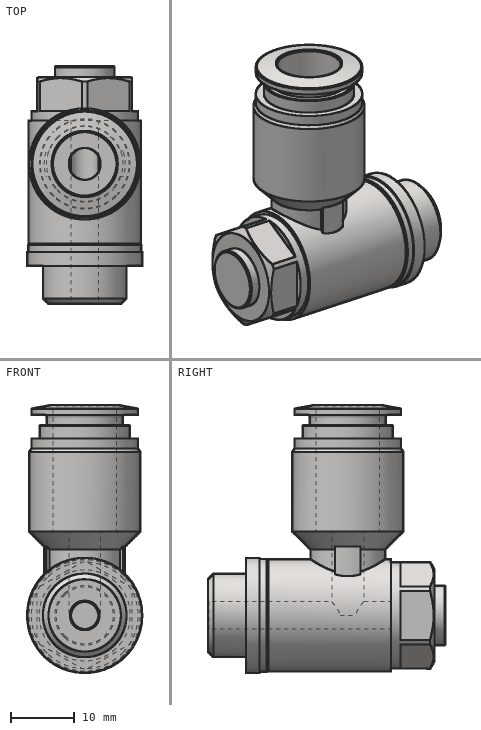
import cadquery as cq
import math


thread_end_y = -22.0
thread_diameter = 13.15
thread_chamfer = 0.9
flange_front_y = -16.02
flange_diameter = 18.15
ring_front_y = -13.87
ring_diameter = 17.8
groove_front_y = -12.78
groove_diameter = 17.5
barrel_front_y = -12.5
barrel_diameter = 17.7
barrel_back_y = 6.8
collar_diameter = 16.8
hex_front_y = 8.3
hex_back_y = 13.65
stub_end_y = 15.4
stub_diameter = 9.4
stub_chamfer = 0.2

hex_across_flats = 14.93
hex_corner_diameter = collar_diameter
hex_end_diameter = 14.35
hex_cone_length = 0.7

neck_diameter = 11.8
cone_bottom_z = 10.37
cone_top_z = 13.2
socket_diameter = 17.5
cap_bevel_bottom_z = 25.72
cap_bevel_top_z = 26.25
cap_top_z = 27.85
cap_diameter = 16.8
sleeve_top_z = 29.95
sleeve_diameter = 14.2
sleeve_chamfer = 0.13
button_neck_diameter = 12.0
button_bottom_z = 31.55
button_edge_z = 32.43
button_bevel_diameter = 16.45
button_bevel_top_z = 32.55
button_fillet = 0.35
button_top_z = 33.1
button_diameter = 16.8
tube_bore_diameter = 10.0
tube_bore_chamfer = 0.2
tube_bore_floor_z = cone_top_z
button_crown_diameter = tube_bore_diameter + 2 * tube_bore_chamfer

rib_width = 4.0
rib_outer_diameter = 12.75
rib_top_z = cone_bottom_z + (rib_outer_diameter - neck_diameter) / 2

inlet_diameter = 4.3
inlet_chamfer = 0.15
inlet_back_y = barrel_back_y
outlet_diameter = 5.0


def cylinder_y(diameter, start_y, end_y):
    """Cylinder on the Y axis between two stations."""
    plane = cq.Workplane("XZ", origin=(0, start_y, 0))
    return plane.circle(diameter / 2).extrude(start_y - end_y)


def make_barrel():
    thread = cylinder_y(thread_diameter, thread_end_y, flange_front_y)
    barrel = thread.faces("<Y").chamfer(thread_chamfer)
    barrel = barrel.union(cylinder_y(flange_diameter, flange_front_y, ring_front_y))
    barrel = barrel.union(cylinder_y(ring_diameter, ring_front_y, groove_front_y))
    barrel = barrel.union(cylinder_y(groove_diameter, groove_front_y, barrel_front_y))
    barrel = barrel.union(cylinder_y(barrel_diameter, barrel_front_y, barrel_back_y))
    barrel = barrel.union(cylinder_y(collar_diameter, barrel_back_y, hex_front_y))
    stub = cylinder_y(stub_diameter, hex_back_y, stub_end_y)
    return barrel.union(stub.faces(">Y").chamfer(stub_chamfer))


def make_hexagon():
    """Hexagon with flats facing +X and -X, trimmed to a turned blank."""
    across_corners = hex_across_flats / math.cos(math.radians(30))
    prism = (
        cq.Workplane("XZ", origin=(0, hex_front_y, 0))
        .transformed(rotate=(0, 0, 90))
        .polygon(6, across_corners)
        .extrude(hex_front_y - hex_back_y)
    )
    radial_cut = (hex_corner_diameter - hex_end_diameter) / 2
    blank = cylinder_y(hex_corner_diameter, hex_front_y, hex_back_y)
    blank = blank.faces(">Y").edges().chamfer(hex_cone_length, radial_cut)
    return prism.intersect(blank)


def make_socket():
    """Revolved socket, cap, sleeve and release button standing on the barrel axis."""
    neck_radius = neck_diameter / 2
    socket_radius = socket_diameter / 2
    cap_radius = cap_diameter / 2
    sleeve_radius = sleeve_diameter / 2
    button_neck_radius = button_neck_diameter / 2
    fillet_centre = (button_neck_radius + button_fillet, button_bottom_z - button_fillet)
    fillet_middle = (
        fillet_centre[0] - button_fillet * math.cos(math.radians(45)),
        fillet_centre[1] + button_fillet * math.sin(math.radians(45)),
    )
    profile = (
        cq.Workplane("XZ")
        .lineTo(neck_radius, 0)
        .lineTo(neck_radius, cone_bottom_z)
        .lineTo(socket_radius, cone_top_z)
        .lineTo(socket_radius, cap_bevel_bottom_z)
        .lineTo(cap_radius, cap_bevel_top_z)
        .lineTo(cap_radius, cap_top_z)
        .lineTo(sleeve_radius, cap_top_z)
        .lineTo(sleeve_radius, sleeve_top_z - sleeve_chamfer)
        .lineTo(sleeve_radius - sleeve_chamfer, sleeve_top_z)
        .lineTo(button_neck_radius, sleeve_top_z)
        .lineTo(button_neck_radius, fillet_centre[1])
        .threePointArc(fillet_middle, (fillet_centre[0], button_bottom_z))
        .lineTo(button_diameter / 2, button_bottom_z)
        .lineTo(button_diameter / 2, button_edge_z)
        .lineTo(button_bevel_diameter / 2, button_bevel_top_z)
        .lineTo(button_crown_diameter / 2, button_top_z)
        .lineTo(0, button_top_z)
        .close()
    )
    return profile.revolve(360, (0, 0, 0), (0, 1, 0))


def make_ribs():
    """Both ribs as one bar across the neck with rounded ends."""
    bar = cq.Workplane("XY").rect(rib_outer_diameter, rib_width).extrude(rib_top_z)
    envelope = cq.Workplane("XY").circle(rib_outer_diameter / 2).extrude(rib_top_z)
    return bar.intersect(envelope)


def make_passages():
    inlet_radius = inlet_diameter / 2
    inlet_profile = [
        (0, thread_end_y),
        (inlet_radius + inlet_chamfer, thread_end_y),
        (inlet_radius, thread_end_y + inlet_chamfer),
        (inlet_radius, inlet_back_y),
        (0, inlet_back_y),
    ]
    inlet = cq.Workplane("XY").polyline(inlet_profile).close().revolve(360, (0, 0, 0), (0, 1, 0))
    outlet = cq.Workplane("XY").circle(outlet_diameter / 2).extrude(tube_bore_floor_z)
    bore_radius = tube_bore_diameter / 2
    tube_profile = [
        (0, tube_bore_floor_z),
        (bore_radius, tube_bore_floor_z),
        (bore_radius, button_top_z - tube_bore_chamfer),
        (bore_radius + tube_bore_chamfer, button_top_z),
        (0, button_top_z),
    ]
    tube = cq.Workplane("XZ").polyline(tube_profile).close().revolve(360, (0, 0, 0), (0, 1, 0))
    return inlet.union(outlet).union(tube)


body = make_barrel().union(make_hexagon()).union(make_socket()).union(make_ribs())
result = body.cut(make_passages())